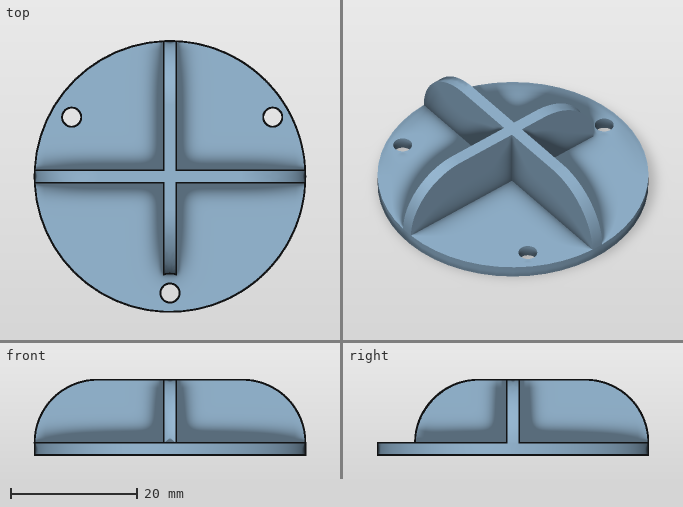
import cadquery as cq
import math

disc_diameter = 43.0
disc_thickness = 2.0

rib_height = 10.0
rib_width = 2.0

hole_diameter = 3.0
front_hole_offset = 18.5
rear_hole_y = 9.4
left_hole_x = -15.6
right_hole_x = 16.3
hole_centres = [
    (0, -front_hole_offset),
    (left_hole_x, rear_hole_y),
    (right_hole_x, rear_hole_y),
]

clearance_radius = 3.1

disc_radius = disc_diameter / 2
overall_height = disc_thickness + rib_height


def make_disc():
    return cq.Workplane("XY").circle(disc_radius).extrude(disc_thickness)


def make_round_body(base_radius, top_radius):
    """Body of revolution, as tall as the ribs, with a quarter-circle side.

    The two radii differ by the rib height. The arc is centred below its top end:
    a smaller top gives a dome, a larger top gives a flare.
    """
    diagonal = math.sqrt(0.5)
    arc_middle = (
        top_radius + (base_radius - top_radius) * diagonal,
        disc_thickness + rib_height * diagonal,
    )
    return (
        cq.Workplane("XZ")
        .moveTo(0, disc_thickness)
        .lineTo(base_radius, disc_thickness)
        .threePointArc(arc_middle, (top_radius, overall_height))
        .lineTo(0, overall_height)
        .close()
        .revolve(360, (0, 0), (0, 1))
    )


def make_ribs():
    """Crossed ribs trimmed by a dome over the disc and by the front hole clearance."""
    rib_y_length = disc_radius + front_hole_offset
    rib_y_centre = (disc_radius - front_hole_offset) / 2
    rib_base = cq.Workplane("XY").workplane(offset=disc_thickness)
    rib_along_x = rib_base.rect(disc_diameter, rib_width).extrude(rib_height)
    rib_along_y = rib_base.center(0, rib_y_centre).rect(rib_width, rib_y_length).extrude(rib_height)

    dome = make_round_body(disc_radius, disc_radius - rib_height)
    clearance = make_round_body(clearance_radius, clearance_radius + rib_height)
    clearance = clearance.translate((0, -front_hole_offset, 0))
    return rib_along_x.union(rib_along_y).intersect(dome).cut(clearance)


def make_holes():
    return (
        cq.Workplane("XY")
        .pushPoints(hole_centres)
        .circle(hole_diameter / 2)
        .extrude(disc_thickness)
    )


result = make_disc().cut(make_holes()).union(make_ribs())